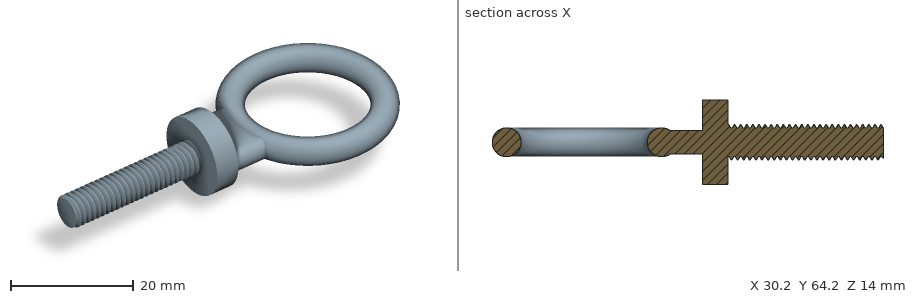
import cadquery as cq
import math

total_length = 64.15

ring_outer_diameter = 30.2
ring_bar_diameter = 4.8
ring_mean_radius = (ring_outer_diameter - ring_bar_diameter) / 2

neck_width = 13.4
neck_thickness = 4.0

collar_diameter = 14.0
collar_thickness = 4.3

stud_length = 25.4
stud_turns = 25.4
thread_pitch = stud_length / stud_turns
thread_crest_diameter = 5.9
thread_root_diameter = 4.75
thread_flank_angle = 30.0
thread_crest_width = thread_pitch / 8
thread_tip_offset = 0.15 * thread_pitch
thread_overlap = 0.1
stock_allowance = 3.2

tip_y = ring_outer_diameter / 2 - total_length
collar_bottom_y = tip_y + stud_length
collar_top_y = collar_bottom_y + collar_thickness
neck_end_y = -ring_mean_radius


def plane_across_y(y):
    """Plane at the given Y whose normal points to +Y and whose local x is the global X."""
    return cq.Plane(origin=(0, y, 0), xDir=(1, 0, 0), normal=(0, 1, 0))


def make_ring():
    return cq.Workplane(cq.Solid.makeTorus(ring_mean_radius, ring_bar_diameter / 2))


def make_neck():
    """Flat-sided neck with fully rounded narrow sides."""
    neck_length = neck_end_y - collar_top_y
    return cq.Workplane(plane_across_y(collar_top_y)).slot2D(neck_width, neck_thickness).extrude(neck_length)


def make_collar():
    return cq.Workplane(plane_across_y(collar_bottom_y)).circle(collar_diameter / 2).extrude(collar_thickness)


def make_thread_ridge():
    """Right-handed V ridge along Z, starting a pitch below z = 0 and ending a pitch past the stud."""
    root_radius = thread_root_diameter / 2 - thread_overlap
    crest_radius = thread_crest_diameter / 2
    half_crest = thread_crest_width / 2
    flank_rise = (crest_radius - root_radius) * math.tan(math.radians(thread_flank_angle))
    half_root = half_crest + flank_rise
    start_z = thread_tip_offset - thread_pitch
    path = cq.Wire.makeHelix(thread_pitch, stud_length + 2 * thread_pitch, root_radius)
    ridge = (
        cq.Workplane("XZ")
        .polyline([
            (root_radius, -half_root),
            (crest_radius, -half_crest),
            (crest_radius, half_crest),
            (root_radius, half_root),
        ])
        .close()
        .sweep(cq.Workplane(path), isFrenet=True)
    )
    return ridge.rotate((0, 0, 0), (0, 0, 1), 180).translate((0, 0, start_z))


def make_stud():
    """Threaded stud, cut square at the tip and ending at the underside of the collar."""
    core_length = stud_length + 2 * stock_allowance
    core = cq.Workplane().workplane(offset=-stock_allowance).circle(thread_root_diameter / 2).extrude(core_length)
    envelope = cq.Workplane().circle(thread_crest_diameter).extrude(stud_length)
    stud = core.union(make_thread_ridge()).intersect(envelope)
    return stud.rotate((0, 0, 0), (1, 0, 0), -90).translate((0, tip_y, 0))


result = make_ring().union(make_neck()).union(make_collar()).union(make_stud())